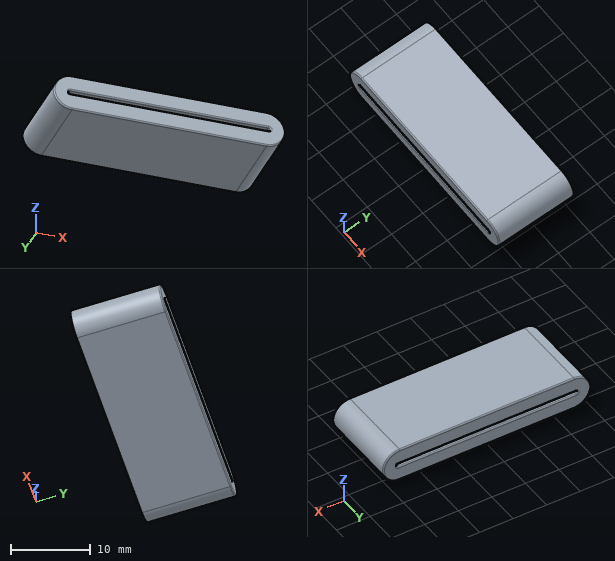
import cadquery as cq

length = 31.0
depth = 12.0
height = 5.0
edge_radius = 0.2

slot_length = 27.0
slot_height = 0.5


def rounded_bar(bar_length, bar_height):
    """Obround in the XZ plane, extruded along Y and centred on the origin."""
    return cq.Workplane("XZ").slot2D(bar_length, bar_height).extrude(depth / 2, both=True)


body = rounded_bar(length, height)
slot = rounded_bar(slot_length, slot_height)

result = body.cut(slot).faces("<Y or >Y").fillet(edge_radius)